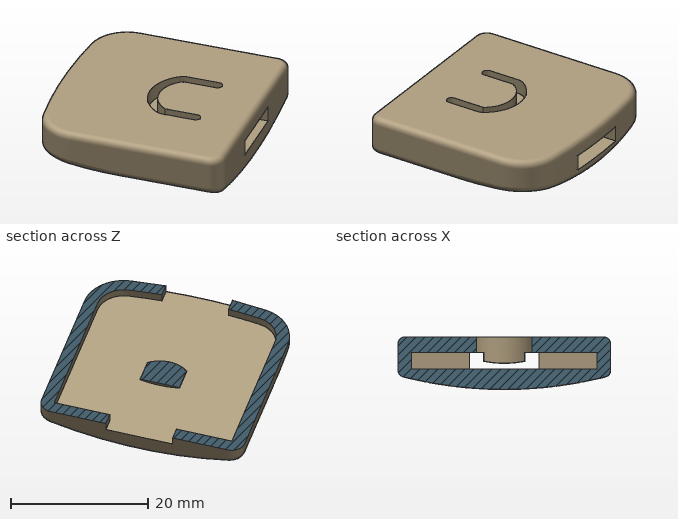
import cadquery as cq
import math

length = 29.98
width = 31.0
height = 7.7

nose_corner_radius = 6.0
nose_corner_x = 6.63
tail_corner_radius = 2.0

crown_radius = 60.0
crown_start_x = 13.95
edge_fillet = 1.0
seam_tolerance = 0.03

wall = 2.0
window_width = 10.1
window_height = 2.4
window_floor = 3.0
window_top = window_floor + window_height

slot_width = 1.5
leg_offset = 4.77
slot_end_x = 23.0
slot_bend_radius = 5.5
slot_nose_x = 14.25
slot_shoulder_radius = 1.98

button_width = 6.0
button_side_height = 1.27
button_height = 1.58


def make_outline():
    half = width / 2
    corner_y = half - nose_corner_radius
    bulge = nose_corner_x - nose_corner_radius
    nose_radius = (nose_corner_x**2 + corner_y**2 - nose_corner_radius**2) / (2 * bulge)
    tangent_angle = math.asin(corner_y / (nose_radius - nose_corner_radius))
    tangent_x = nose_radius * (1 - math.cos(tangent_angle))
    tangent_y = nose_radius * math.sin(tangent_angle)
    mid_angle = (math.pi / 2 + tangent_angle) / 2
    mid_x = nose_corner_x - nose_corner_radius * math.cos(mid_angle)
    mid_y = corner_y + nose_corner_radius * math.sin(mid_angle)
    return (
        cq.Workplane("XY")
        .moveTo(nose_corner_x, -half)
        .lineTo(length, -half)
        .lineTo(length, half)
        .lineTo(nose_corner_x, half)
        .threePointArc((mid_x, mid_y), (tangent_x, tangent_y))
        .threePointArc((0, 0), (tangent_x, -tangent_y))
        .threePointArc((mid_x, -mid_y), (nose_corner_x, -half))
        .close()
    )


def make_body():
    block = make_outline().extrude(height).edges("|Z and >X").fillet(tail_corner_radius)
    crown_cylinder = (
        cq.Workplane("YZ", origin=(crown_start_x, 0, crown_radius))
        .circle(crown_radius)
        .extrude(length)
    )
    crown_sphere = cq.Workplane("XY", origin=(crown_start_x, 0, crown_radius)).sphere(crown_radius)
    body = block.intersect(crown_cylinder.union(crown_sphere))
    body = body.faces(">Z").edges().fillet(edge_fillet)
    lower_rim = body.edges("not(|Z)").filter(
        lambda edge: edge.Center().z < height / 2 and abs(edge.Center().x - crown_start_x) > seam_tolerance
    )
    return body.newObject(lower_rim.vals()).fillet(edge_fillet)


def make_windows():
    return (
        cq.Workplane("XY", origin=(0, 0, window_floor))
        .box(length, window_width, window_height, centered=(False, True, False))
    )


def arc_x(radius, y):
    center_x = slot_nose_x + slot_bend_radius
    return center_x - math.sqrt(radius**2 - y**2)


def make_chamber():
    inner_outline = make_outline().offset2D(-wall)
    return inner_outline.extrude(window_height).translate((0, 0, window_floor))


def make_slot():
    outer_radius = slot_bend_radius + slot_width / 2
    inner_radius = slot_bend_radius - slot_width / 2
    outer_y = leg_offset + slot_width / 2
    inner_y = leg_offset - slot_width / 2
    leg_end_x = slot_end_x - slot_width / 2
    outer_x = arc_x(outer_radius, outer_y)
    inner_x = arc_x(inner_radius, inner_y)
    slot = (
        cq.Workplane("XY", origin=(0, 0, window_top))
        .moveTo(leg_end_x, outer_y)
        .lineTo(outer_x, outer_y)
        .threePointArc((arc_x(outer_radius, 0), 0), (outer_x, -outer_y))
        .lineTo(leg_end_x, -outer_y)
        .threePointArc((slot_end_x, -leg_offset), (leg_end_x, -inner_y))
        .lineTo(inner_x, -inner_y)
        .threePointArc((arc_x(inner_radius, 0), 0), (inner_x, inner_y))
        .lineTo(leg_end_x, inner_y)
        .threePointArc((slot_end_x, leg_offset), (leg_end_x, outer_y))
        .close()
        .extrude(height - window_top)
    )
    shoulders = slot.edges("|Z").filter(
        lambda edge: abs(edge.Center().y) > leg_offset and edge.Center().x < slot_nose_x + slot_bend_radius
    )
    return slot.newObject(shoulders.vals()).fillet(slot_shoulder_radius)


def make_button():
    half = button_width / 2
    end_rise = button_height - button_side_height
    end_radius = (half**2 + end_rise**2) / (2 * end_rise)
    tongue_radius = slot_bend_radius - slot_width / 2
    tip_x = arc_x(tongue_radius, 0)
    side_x = arc_x(tongue_radius, half)
    back_x = slot_nose_x + slot_bend_radius
    button = (
        cq.Workplane("XY", origin=(0, 0, window_top))
        .moveTo(back_x, -half)
        .lineTo(side_x, -half)
        .threePointArc((tip_x, 0), (side_x, half))
        .lineTo(back_x, half)
        .close()
        .extrude(-button_height)
    )
    curved_end = (
        cq.Workplane("YZ", origin=(tip_x, 0, window_top - button_height + end_radius))
        .circle(end_radius)
        .extrude(back_x - tip_x)
    )
    return button.intersect(curved_end)


result = (
    make_body()
    .cut(make_windows())
    .cut(make_chamber())
    .cut(make_slot())
    .union(make_button())
)